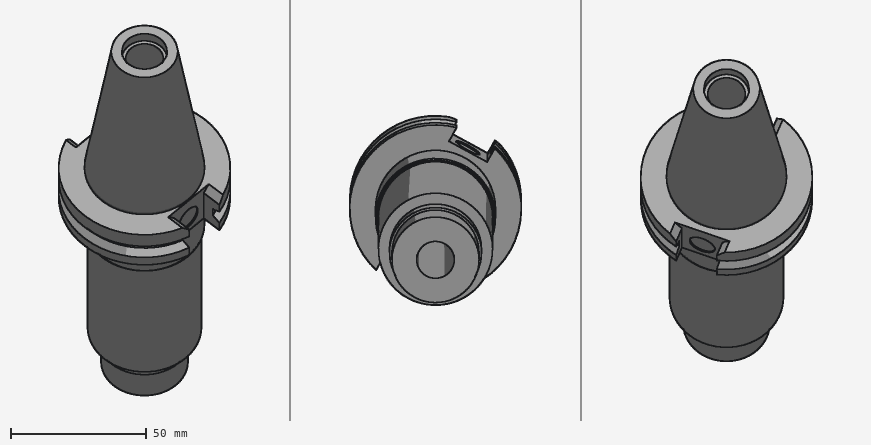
import cadquery as cq

total_length = 185.0

taper_ratio = 7 / 24
gauge_radius = 22.2
taper_length = 68.3
taper_top_radius = gauge_radius - taper_length * taper_ratio / 2
collar_height = 1.0

flange_diameter = 63.5
flange_radius = flange_diameter / 2
flange_thickness = 18.0
groove_radius = 28.5
groove_start = 6.8
groove_end = 13.5
groove_bevel = 1.5

shoulder_length = 16.3
shoulder_chamfer = 0.5
body_radius = 21.1
neck_radius = 17.0
neck_length = 6.8
nose_radius = 16.1
nose_length = 13.7

bore_diameter = 13.9
counterbore_diameter = 16.7
counterbore_depth = 4.3

slot_width = 16.1
slot_floors = {-1: 24.8, 1: 22.5}
slot_chamfer = 2.8
dimple_diameter = 10.0
dimple_drop = 10.4
dimple_depth = 0.5

taper_bottom = total_length - taper_length
flange_top = taper_bottom - collar_height
flange_bottom = flange_top - flange_thickness
shoulder_bottom = flange_bottom - shoulder_length
neck_top = nose_length + neck_length


def revolved_body():
    """Solid of revolution: taper, grooved flange and stepped shank."""
    profile = [
        (0, total_length),
        (taper_top_radius, total_length),
        (gauge_radius, taper_bottom),
        (gauge_radius, flange_top),
        (flange_radius, flange_top),
        (flange_radius, flange_top - groove_start),
        (groove_radius, flange_top - groove_start - groove_bevel),
        (groove_radius, flange_top - groove_end + groove_bevel),
        (flange_radius, flange_top - groove_end),
        (flange_radius, flange_bottom),
        (gauge_radius, flange_bottom),
        (gauge_radius, shoulder_bottom + shoulder_chamfer),
        (gauge_radius - shoulder_chamfer, shoulder_bottom),
        (body_radius, shoulder_bottom),
        (body_radius, neck_top),
        (neck_radius, neck_top),
        (neck_radius, nose_length),
        (nose_radius, nose_length),
        (nose_radius, 0),
        (0, 0),
    ]
    return cq.Workplane("XZ").polyline(profile).close().revolve(360, (0, 0), (0, 1))


def drive_slot(side):
    """Slot through the flange, flared at its top edge; side is -1 or 1 along X."""
    half_width = slot_width / 2
    flared_half_width = half_width + slot_chamfer
    outline = [
        (-half_width, flange_bottom),
        (half_width, flange_bottom),
        (half_width, flange_top - slot_chamfer),
        (flared_half_width, flange_top),
        (-flared_half_width, flange_top),
        (-half_width, flange_top - slot_chamfer),
    ]
    return (
        cq.Workplane("YZ", origin=(side * slot_floors[side], 0, 0))
        .polyline(outline)
        .close()
        .extrude(side * flange_radius)
    )


def slot_dimple(side):
    """Shallow round recess in the floor of a drive slot."""
    return (
        cq.Workplane("YZ", origin=(side * slot_floors[side], 0, flange_top - dimple_drop))
        .circle(dimple_diameter / 2)
        .extrude(-side * dimple_depth)
    )


result = revolved_body()
for side in (-1, 1):
    result = result.cut(drive_slot(side)).cut(slot_dimple(side))

result = (
    result.faces(">Z")
    .workplane()
    .cboreHole(bore_diameter, counterbore_diameter, counterbore_depth)
)